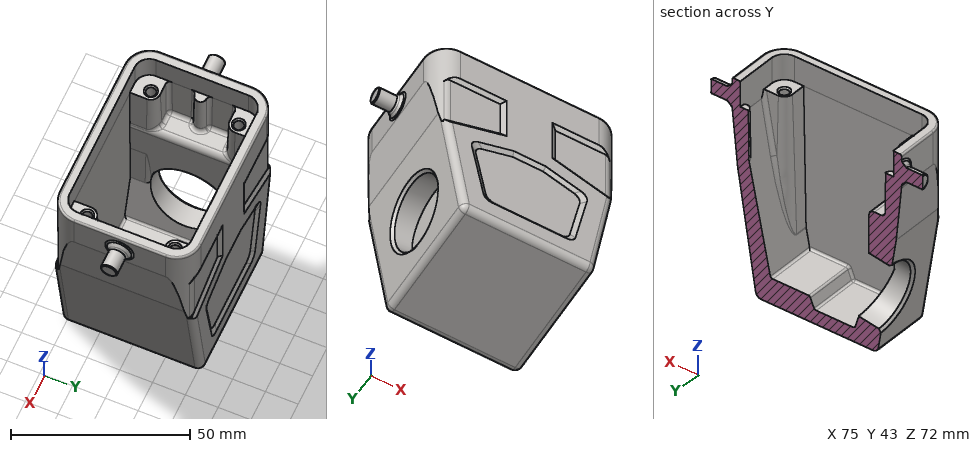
import cadquery as cq
import math

LENGTH = 60.0
WIDTH = 43.0
HEIGHT = 72.0
HALF_LENGTH = LENGTH / 2
HALF_WIDTH = WIDTH / 2
CORNER_R = 7.5
EDGE_R = 2.2
RIM_R = 0.6
SHOULDER_Z = 60.7
KNEE_Z = 42.0
KNEE_HALF_LENGTH = 28.15
END_TILT = 9.0
BASE_HALF_LENGTH = KNEE_HALF_LENGTH - KNEE_Z * math.tan(math.radians(END_TILT))
OVERCUT = 5.0

RECESS_DEPTH = 0.9
RECESS_BEVEL = 1.6
RECESS_ANGLE = 18.0
GRIP_INNER_X = 7.4
GRIP_TOP_Z = 58.9
GRIP_INNER_Z = 42.4
GRIP_BLEND_R = 3.0
PANEL_TOP_Z = 37.0
PANEL_TOP_HALF = 5.2
PANEL_SIDE_HALF = 19.2
PANEL_BOTTOM_HALF = 14.5
PANEL_BOTTOM_Z = 7.9
PANEL_CORNER_R = 3.0

RIM_WALL = 3.0
SEAT_Z = 63.2
CAVITY_TOP_HALF_LENGTH = HALF_LENGTH - RIM_WALL
CAVITY_TOP_HALF_WIDTH = 18.6
CAVITY_FLOOR_HALF_WIDTH = 17.6
LOW_FLOOR_Z = 5.0
HIGH_FLOOR_Z = 9.0
FLOOR_STEP_FOOT_X = 0.8
FLOOR_STEP_TOP_X = 2.5
FLOOR_R = 0.8
FLOOR_LEFT_X = -13.3
FLOOR_RIGHT_X = 16.3
PORT_WALL_X = -18.3
PORT_WALL_FOOT_Z = 21.0
LEDGE_Z = 48.0
LEDGE_BACK_X = -26.3
LEDGE_R = 2.0

POST_X = 22.0
POST_Y = 13.4
POST_R = 2.8
POST_DRAFT = 1.8
POST_HOLE_D = 3.0
POST_HOLE_DEPTH = 12.0
POST_HOLE_CHAMFER = 0.5
PIN_X = 26.0
POST_BLEND_R = 1.3
PIN_TOP_R = 1.8
PIN_FOOT_R = 2.8

PORT_Z = 20.0
PORT_D = 23.5
PORT_CHAMFER = 0.9
STUD_Z = 65.7
STUD_R = 2.55
STUD_TIP_X = 37.5
STUD_CHAMFER = 0.3
STUD_FOOT = [(4.4, 30.0), (3.75, 30.25), (3.0, 31.2), (STUD_R, 31.7)]


def prism_along_y(points, half_depth):
    """Extrude an XZ outline symmetrically about Y = 0."""
    return cq.Workplane("XZ").polyline(points).close().extrude(half_depth, both=True)


def fillet_near(solid, point, radius):
    return solid.edges(cq.selectors.NearestToPointSelector(point)).fillet(radius)


def mirror_x(points):
    return [(-x, z) for x, z in points]


def grip_outline(inset):
    """Outline of the right-hand grip recess; it runs out through the end face."""
    slope = math.tan(math.radians(RECESS_ANGLE))
    outer_x = HALF_LENGTH + OVERCUT
    inner_x = GRIP_INNER_X + inset
    rise = inset / math.cos(math.radians(RECESS_ANGLE))

    def lower_z(x):
        return GRIP_INNER_Z - (x - GRIP_INNER_X) * slope + rise

    return [
        (inner_x, GRIP_TOP_Z - inset),
        (outer_x, GRIP_TOP_Z - inset),
        (outer_x, lower_z(outer_x)),
        (inner_x, lower_z(inner_x)),
    ]


def panel_wire(inset):
    """Six-sided panel outline, shrunk by the inset, with rounded side corners."""
    side_z = PANEL_TOP_Z - (PANEL_SIDE_HALF - PANEL_TOP_HALF) * math.tan(math.radians(RECESS_ANGLE))
    right = [
        (PANEL_TOP_HALF, PANEL_TOP_Z),
        (PANEL_SIDE_HALF, side_z),
        (PANEL_BOTTOM_HALF, PANEL_BOTTOM_Z),
    ]
    outline = cq.Workplane("XZ").polyline(right + mirror_x(right)[::-1]).close()
    if inset:
        outline = outline.offset2D(-inset)
    vertices = [v for v in outline.vertices().vals() if abs(v.X) > 2 * PANEL_TOP_HALF]
    return outline.val().fillet2D(PANEL_CORNER_R, vertices)


def grip_wire(inset):
    return cq.Workplane("XZ").polyline(grip_outline(inset)).close().val()


def recess(wire_at):
    """Bevelled cutter on the -Y face between the outer and the inset outline."""
    outer = wire_at(0).translate(cq.Vector(0, -HALF_WIDTH, 0))
    inner = wire_at(RECESS_BEVEL).translate(cq.Vector(0, -HALF_WIDTH + RECESS_DEPTH, 0))
    return cq.Workplane(cq.Solid.makeLoft([outer, inner], True))


def outer_block():
    right = [
        (BASE_HALF_LENGTH, 0),
        (KNEE_HALF_LENGTH, KNEE_Z),
        (HALF_LENGTH, SHOULDER_Z),
        (HALF_LENGTH, HEIGHT),
    ]
    block = prism_along_y(right + mirror_x(right)[::-1], HALF_WIDTH)
    below_knee = cq.selectors.BoxSelector((-LENGTH, -WIDTH, -OVERCUT), (LENGTH, WIDTH, KNEE_Z - OVERCUT))
    block = block.edges(below_knee).fillet(EDGE_R)

    rounded = cq.Workplane("XY").rect(LENGTH, WIDTH).extrude(HEIGHT).edges("|Z").fillet(CORNER_R)
    frame = cq.Workplane("XY").rect(LENGTH + OVERCUT, WIDTH + OVERCUT).extrude(HEIGHT).cut(rounded)
    low_inner, low_outer = grip_outline(RECESS_BEVEL)[:1:-1]
    above = [low_inner, low_outer, (low_outer[0], HEIGHT), (low_inner[0], HEIGHT)]
    for side in (above, mirror_x(above)):
        block = block.cut(frame.intersect(prism_along_y(side, WIDTH)))
    return block.faces(">Z").edges().fillet(RIM_R)


def cut_recesses(body):
    grip = recess(grip_wire)
    cutters = [grip, grip.mirror("YZ"), recess(panel_wire)]
    for cutter in cutters:
        body = body.cut(cutter).cut(cutter.mirror("XZ"))
    floor_y = HALF_WIDTH - RECESS_DEPTH
    corner_y = HALF_WIDTH - CORNER_R
    edge_x = HALF_LENGTH - CORNER_R + math.sqrt(CORNER_R**2 - (floor_y - corner_y) ** 2)
    edge_z = (GRIP_TOP_Z + GRIP_INNER_Z) / 2
    for x in (-edge_x, edge_x):
        for y in (-floor_y, floor_y):
            body = fillet_near(body, (x, y, edge_z), GRIP_BLEND_R)
    return body


def cavity():
    upper = (
        cq.Workplane("XY", origin=(0, 0, SEAT_Z))
        .rect(2 * CAVITY_TOP_HALF_LENGTH, 2 * CAVITY_TOP_HALF_WIDTH)
        .extrude(HEIGHT - SEAT_Z)
        .edges("|Z").fillet(CORNER_R - RIM_WALL)
    )
    length_profile = [
        (FLOOR_LEFT_X, LOW_FLOOR_Z),
        (FLOOR_STEP_FOOT_X, LOW_FLOOR_Z),
        (FLOOR_STEP_TOP_X, HIGH_FLOOR_Z),
        (FLOOR_RIGHT_X, HIGH_FLOOR_Z),
        (CAVITY_TOP_HALF_LENGTH, SHOULDER_Z),
        (CAVITY_TOP_HALF_LENGTH, SEAT_Z),
        (-CAVITY_TOP_HALF_LENGTH, SEAT_Z),
        (LEDGE_BACK_X, LEDGE_Z),
        (PORT_WALL_X, LEDGE_Z),
        (PORT_WALL_X, PORT_WALL_FOOT_Z),
    ]
    width_profile = (
        cq.Workplane("YZ")
        .polyline([
            (CAVITY_FLOOR_HALF_WIDTH, LOW_FLOOR_Z),
            (CAVITY_TOP_HALF_WIDTH, SEAT_Z),
            (-CAVITY_TOP_HALF_WIDTH, SEAT_Z),
            (-CAVITY_FLOOR_HALF_WIDTH, LOW_FLOOR_Z),
        ])
        .close()
        .extrude(HALF_LENGTH, both=True)
    )
    lower = prism_along_y(length_profile, HALF_WIDTH).intersect(width_profile)
    lower = fillet_near(lower, (PORT_WALL_X, 0, LEDGE_Z), LEDGE_R)
    floor_edges = cq.selectors.BoxSelector(
        (-LENGTH, -WIDTH, 0), (LENGTH, WIDTH, HIGH_FLOOR_Z + FLOOR_R), boundingbox=True
    )
    lower = lower.edges(floor_edges).fillet(FLOOR_R)
    for x_sign in (-1, 1):
        for y_sign in (-1, 1):
            lower = lower.cut(corner_post(x_sign, y_sign))
        lower = lower.cut(locating_pin(x_sign))
    return upper.union(blend_posts(lower))


def blend_posts(lower):
    """Round the feet of the posts and the pin where they meet the +X wall and the ledge."""
    wall_x = POST_X + POST_R / 2
    post_face_y = POST_Y - POST_R
    ledge_back_y = post_face_y / 2
    pin_foot_x = -PIN_X + PIN_FOOT_R
    spots = [
        (wall_x, post_face_y, LEDGE_Z),
        (-wall_x, post_face_y, LEDGE_Z),
        (LEDGE_BACK_X, ledge_back_y, LEDGE_Z),
    ]
    for x, y, z in spots:
        lower = fillet_near(lower, (x, y, z), POST_BLEND_R)
        lower = fillet_near(lower, (x, -y, z), POST_BLEND_R)
    return fillet_near(lower, (pin_foot_x, 0, LEDGE_Z), POST_BLEND_R)


def corner_post(x_sign, y_sign):
    """Drafted post filling a cavity corner, rounded around its screw hole."""
    x_min = POST_X - POST_R
    y_min = POST_Y - POST_R
    x_size = HALF_LENGTH + OVERCUT - x_min
    y_size = HALF_WIDTH + OVERCUT - y_min
    return (
        cq.Workplane("XY", origin=(x_sign * (x_min + x_size / 2), y_sign * (y_min + y_size / 2), SEAT_Z))
        .sketch().rect(x_size, y_size).vertices().fillet(POST_R).finalize()
        .extrude(-SEAT_Z, taper=-POST_DRAFT)
    )


def locating_pin(x_sign):
    return cq.Workplane(cq.Solid.makeCone(PIN_FOOT_R, PIN_TOP_R, SEAT_Z)).translate((x_sign * PIN_X, 0, 0))


def post_holes():
    radius = POST_HOLE_D / 2
    profile = [
        (0, SEAT_Z),
        (radius + POST_HOLE_CHAMFER, SEAT_Z),
        (radius, SEAT_Z - POST_HOLE_CHAMFER),
        (radius, SEAT_Z - POST_HOLE_DEPTH),
        (0, SEAT_Z - POST_HOLE_DEPTH),
    ]
    hole = cq.Workplane("XZ").polyline(profile).close().revolve(360, (0, 0, 0), (0, 1, 0))
    holes = cq.Workplane("XY")
    for x in (-POST_X, POST_X):
        for y in (-POST_Y, POST_Y):
            holes = holes.add(hole.translate((x, y, 0)))
    return holes.combine()


def cable_port():
    """Chamfered bore square to the sloped -X end face."""
    tilt = math.radians(END_TILT)
    face_x = -BASE_HALF_LENGTH - PORT_Z * math.tan(tilt)
    plane = cq.Plane(
        origin=(face_x, 0, PORT_Z), xDir=(0, 1, 0), normal=(math.cos(tilt), 0, math.sin(tilt))
    )
    radius = PORT_D / 2
    depth = FLOOR_LEFT_X - face_x
    bore = cq.Workplane(plane).workplane(offset=-OVERCUT).circle(radius).extrude(OVERCUT + depth)
    countersink = (
        cq.Workplane(plane).circle(radius + PORT_CHAMFER)
        .workplane(offset=PORT_CHAMFER).circle(radius).loft()
    )
    return bore.union(countersink)


def stud():
    """Locking stud with a flared foot on the +X end face."""
    profile = [(0, HALF_LENGTH - RIM_WALL / 2), (STUD_FOOT[0][0], HALF_LENGTH - RIM_WALL / 2)]
    profile += STUD_FOOT
    profile += [
        (STUD_R, STUD_TIP_X - STUD_CHAMFER),
        (STUD_R - STUD_CHAMFER, STUD_TIP_X),
        (0, STUD_TIP_X),
    ]
    points = [(x, STUD_Z + r) for r, x in profile]
    return (
        cq.Workplane("XZ").polyline(points).close()
        .revolve(360, (0, STUD_Z, 0), (1, STUD_Z, 0))
    )


body = cut_recesses(outer_block())
body = body.cut(cavity()).cut(post_holes()).cut(cable_port())
result = body.union(stud()).union(stud().mirror("YZ"))